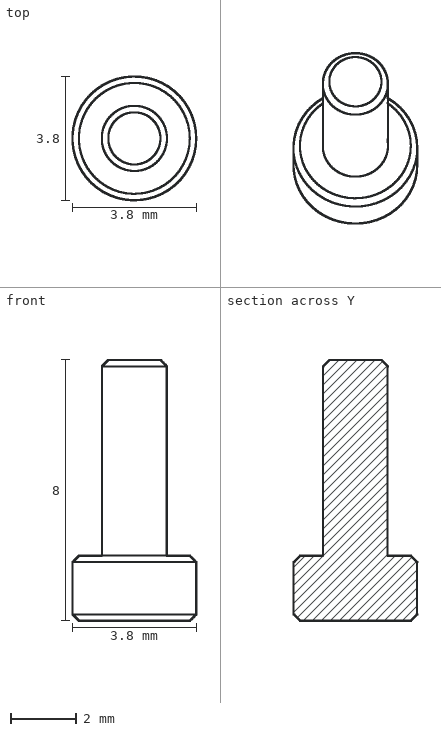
import cadquery as cq

total_length = 8.0
head_diameter = 3.8
head_height = 2.0
shank_diameter = 2.0
chamfer_size = 0.2


def make_head():
    """Cylindrical head with both rims chamfered."""
    blank = cq.Workplane("XY").circle(head_diameter / 2).extrude(head_height)
    return blank.edges("%CIRCLE").chamfer(chamfer_size)


def make_shank():
    """Plain shank rising from the head, chamfered at its tip."""
    shank_length = total_length - head_height
    blank = (
        cq.Workplane("XY", origin=(0, 0, head_height))
        .circle(shank_diameter / 2)
        .extrude(shank_length)
    )
    return blank.faces(">Z").edges().chamfer(chamfer_size)


result = make_head().union(make_shank())